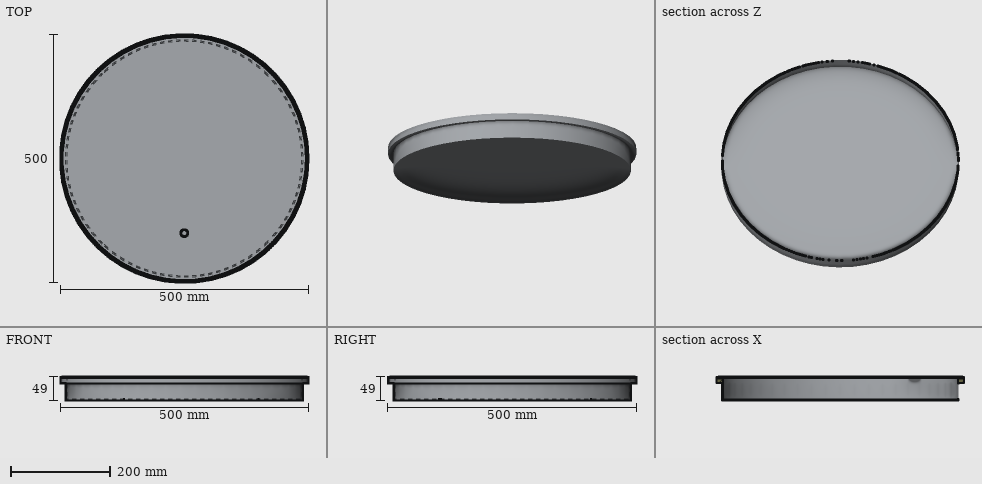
import cadquery as cq

FLANGE_RADIUS = 250.0
PAN_RADIUS = 239.0
PAN_WALL = 2.5
PAN_FLOOR = 3.0
FLANGE_BOTTOM = 35.0
FLANGE_TOP = 45.5

RIM_TOP = 48.0
TOTAL_HEIGHT = 49.0
FACE_RADIUS = 245.5
FACE_CHAMFER = 0.5

BUTTON_RADIUS = 7.5
BUTTON_SHOULDER = 1.0
BUTTON_Y = -150.0


def disc(radius, bottom, top, y=0.0):
    """Upright cylinder between two heights, centred on X = 0."""
    return cq.Workplane("XY", origin=(0, y, bottom)).circle(radius).extrude(top - bottom)


def make_housing():
    pan = disc(PAN_RADIUS, 0, FLANGE_BOTTOM)
    flange = disc(FLANGE_RADIUS, FLANGE_BOTTOM, FLANGE_TOP)
    cavity = disc(PAN_RADIUS - PAN_WALL, PAN_FLOOR, FLANGE_TOP)
    return pan.union(flange).cut(cavity)


def make_plate():
    rim = disc(FLANGE_RADIUS, FLANGE_TOP, RIM_TOP)
    raised_face = disc(FACE_RADIUS, RIM_TOP, TOTAL_HEIGHT).faces(">Z").edges().chamfer(FACE_CHAMFER)
    button_hole = disc(BUTTON_RADIUS, FLANGE_TOP, TOTAL_HEIGHT, BUTTON_Y)
    return rim.union(raised_face).cut(button_hole)


def make_button():
    shoulder_height = TOTAL_HEIGHT - BUTTON_SHOULDER
    body = disc(BUTTON_RADIUS, FLANGE_TOP, shoulder_height, BUTTON_Y)
    top = disc(BUTTON_RADIUS - BUTTON_SHOULDER, shoulder_height, TOTAL_HEIGHT, BUTTON_Y)
    return body.union(top)


housing = make_housing()
plate = make_plate()
button = make_button()

result = cq.Compound.makeCompound([housing.val(), plate.val(), button.val()])